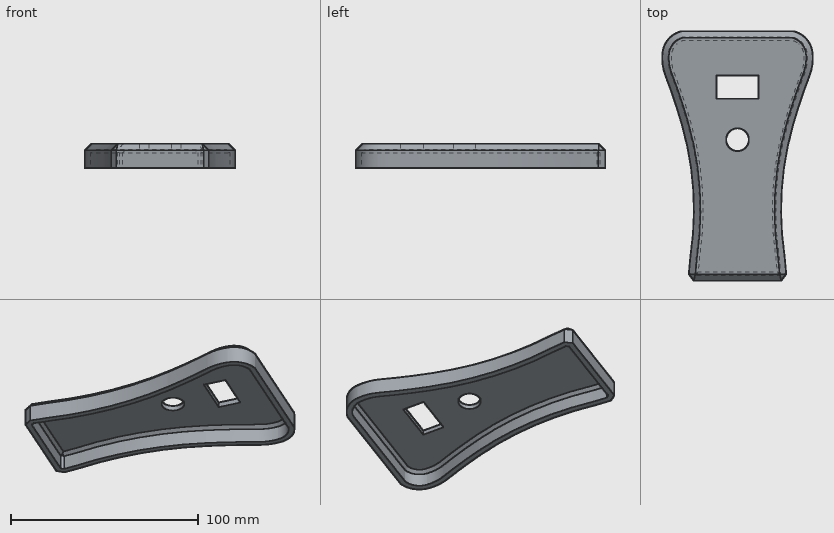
import cadquery as cq
import math

length = 133.0
height = 13.0
bevel = 3.6
wall = 3.0

back_y = length / 2
front_y = -length / 2
foot_corner = (26.3, front_y)
foot_top = (25.1, -53.5)
waist = (23.3, -29.7)
neck_top = (29.7, 16.6)
shoulder = (38.5, 42.8)
widest = (40.0, 54.8)
head_corner = (29.7, back_y)

corner_front_x = 23.3
corner_side = (26.0, -62.9)
corner_apex = (22.5, front_y + bevel)
cutter_size = 26.6

window_width = 22.3
window_length = 12.2
window_y = 36.6
hole_diameter = 12.0
hole_y = 8.6


def mirrored(point):
    """Reflect a point to the left-hand side."""
    return (-point[0], point[1])


def make_outline():
    """Return the closed outline wire with sharp foot corners."""
    right_side = (
        cq.Workplane("XY")
        .moveTo(*foot_corner)
        .lineTo(*foot_top)
        .threePointArc(waist, neck_top)
        .tangentArcPoint(shoulder, relative=False)
        .tangentArcPoint(widest, relative=False)
        .tangentArcPoint(head_corner, relative=False)
        .wire()
        .val()
    )
    left_side = right_side.mirror("YZ")
    front = cq.Edge.makeLine(cq.Vector(*mirrored(foot_corner)), cq.Vector(*foot_corner))
    back = cq.Edge.makeLine(cq.Vector(*head_corner), cq.Vector(*mirrored(head_corner)))
    return cq.Wire.assembleEdges([front, *right_side.Edges(), back, *reversed(left_side.Edges())])


def inset_outline(distance):
    """Move the outline inwards, keeping its corners sharp."""
    outline = make_outline()
    if distance == 0:
        return outline
    return outline.offset2D(-distance, "intersection")[0]


def half_space(point, normal, inset):
    """A large block beyond the plane through a point, moved inwards by the inset."""
    origin = point - normal.normalized() * inset
    return cq.Workplane(cq.Plane(origin, normal=normal)).rect(cutter_size, cutter_size).extrude(cutter_size)


def trim_foot_corners(block, inset):
    """Cut each foot corner upright below the bevel and sloping to a point above it."""
    bevel_z = height - bevel
    front = cq.Vector(corner_front_x, front_y, bevel_z)
    side = cq.Vector(*corner_side, bevel_z)
    apex = cq.Vector(*corner_apex, height)
    along = side - front
    upright = along.cross(cq.Vector(0, 0, 1))
    sloping = along.cross(apex - front)
    for normal in (upright, sloping):
        cutter = half_space(front, normal, inset)
        block = block.cut(cutter).cut(cutter.mirror("YZ"))
    return block


def bevelled_block(inset, top, top_bevel):
    """An inset copy of the outline with upright sides and a 45 degree bevel round its top."""
    base = inset_outline(inset)
    bevel_z = top - top_bevel
    rim = base.translate(cq.Vector(0, 0, bevel_z))
    top_edge = inset_outline(inset + top_bevel).translate(cq.Vector(0, 0, top))
    sides = cq.Solid.extrudeLinear(base, [], cq.Vector(0, 0, bevel_z))
    cap = cq.Solid.makeLoft([rim, top_edge], True)
    return trim_foot_corners(cq.Workplane(sides).union(cap), inset)


def make_cover():
    """Hollow the body so the wall is even behind the sides, bevel and top."""
    body = bevelled_block(0, height, bevel)
    cavity_bevel = bevel - wall * (2 - math.sqrt(2))
    cavity = bevelled_block(wall, height - wall, cavity_bevel)
    return body.cut(cavity)


def cut_openings(cover):
    """Cut the rectangular window and the round hole through the top."""
    window = cq.Workplane("XY").center(0, window_y).rect(window_width, window_length).extrude(height)
    hole = cq.Workplane("XY").center(0, hole_y).circle(hole_diameter / 2).extrude(height)
    return cover.cut(window).cut(hole)


result = cut_openings(make_cover())